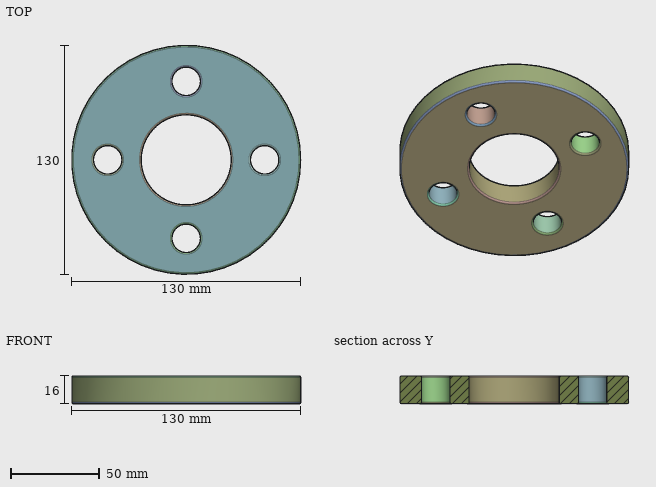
import cadquery as cq

flange_diameter = 130.0
thickness = 16.0
bore_diameter = 51.0
bolt_hole_diameter = 16.0
bolt_circle_diameter = 89.0
bolt_hole_count = 4
edge_radius = 1.0

disc = cq.Workplane("XY").circle(flange_diameter / 2).extrude(thickness)
ring = disc.faces(">Z").workplane().hole(bore_diameter)

flange = (
    ring.faces(">Z")
    .workplane(origin=(0, 0, thickness))
    .polarArray(bolt_circle_diameter / 2, 0, 360, bolt_hole_count)
    .hole(bolt_hole_diameter)
)

result = flange.faces("<Z or >Z").edges().fillet(edge_radius)